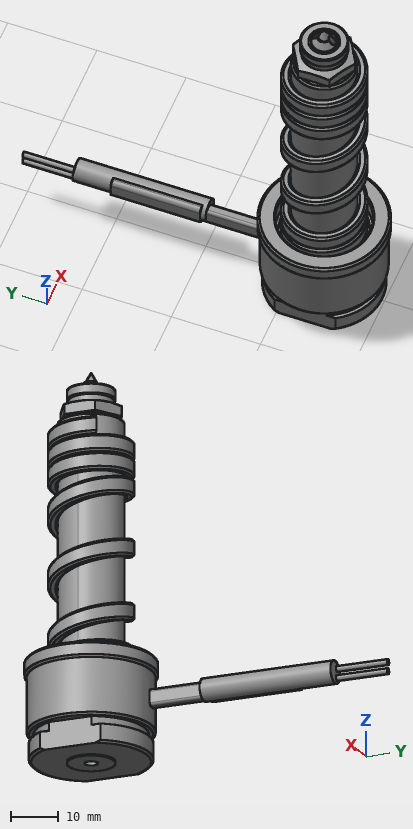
import cadquery as cq
import math

pad_radius = 5.1
pad_height = 0.3
foot_radius = 13.05
foot_top = 4.4
foot_flats = 22.2
groove_radius = 12.1

body_radius = 13.5
body_bottom = 6.3
rim_radius = 14.0
rim_bottom = 19.4
rim_top = 22.4
body_chamfer = 0.5
recess_radius = 10.5
recess_ledge = 18.4
seat_radius = 9.55
seat_floor = 17.5
recess_chamfer = 0.3

tube_radius = 7.0
tube_top = 75.3
tube_chamfer = 0.5
neck_radius = 5.5
hex_corners = 14.0
hex_turn = 30
hex_bottom = 75.7
hex_top = 78.6
hex_shoulder_slope = 0.32
collar_radius = 4.85
cap_radius = 5.1
cap_bottom = 79.95
cap_top = 82.35
cap_chamfer = 0.25

mouth_radius = 3.3
mouth_floor = 81.5
flare_radius = 2.75
flare_top_radius = 1.5
flare_top = 83.9
cone_radius = 1.3
tip_top = 86.2

bore_radius = 1.4
bore_top = 81.0
outlet_radius = 0.75
outlet_offset = 1.8
outlet_bottom = 80.0

coil_outer_radius = 9.05
coil_inner_radius = 6.5
coil_height = 3.77
coil_chamfer = 0.5
close_pitch = 3.95
open_pitch = 14.1
coil_start_angle = -630
open_ramp_start = 185
open_ramp_end = 342
close_ramp_start = 1090
close_ramp_end = 1253
coil_end_angle = 2190
coil_reference_height = 22.3
coil_step_angle = 15

lead_height = 12.7
cable_x = -0.8
cable_width = 2.5
cable_depth = 3.7
cable_corner = 0.6
cable_start = 12.0
sleeve_radius = 2.5
sleeve_start = 25.7
sleeve_end = 55.45
key_start = 26.9
key_end = 46.9
key_depth = 4.6
key_corner = 1.0
wire_radius = 0.65
wire_x = -1.1
wire_spacing = 2.0
wire_end = 67.0


def cylinder(radius, bottom, top):
    return cq.Workplane("XY").workplane(offset=bottom).circle(radius).extrude(top - bottom)


def revolved(profile):
    """Solid of revolution about Z from (radius, height) points."""
    return cq.Workplane("XZ").polyline(profile).close().revolve(360, (0, 0), (0, 1))


def make_foot():
    pad = cylinder(pad_radius, 0, pad_height)
    foot = cylinder(foot_radius, pad_height, foot_top).faces("<Z").chamfer(body_chamfer)
    foot = foot.union(cylinder(groove_radius, foot_top, body_bottom))
    flats = cq.Workplane("XY").box(foot_flats, 2 * foot_radius, 2 * body_bottom)
    return foot.intersect(flats).union(pad)


def make_body():
    profile = [
        (0, body_bottom),
        (body_radius - body_chamfer, body_bottom),
        (body_radius, body_bottom + body_chamfer),
        (body_radius, rim_bottom - body_chamfer),
        (rim_radius, rim_bottom),
        (rim_radius, rim_top - body_chamfer),
        (rim_radius - body_chamfer, rim_top),
        (recess_radius, rim_top),
        (recess_radius - recess_chamfer, rim_top - recess_chamfer),
        (recess_radius - recess_chamfer, recess_ledge),
        (seat_radius, recess_ledge),
        (seat_radius, seat_floor),
        (0, seat_floor),
    ]
    return revolved(profile)


def make_nozzle():
    tube = cylinder(tube_radius, body_bottom, tube_top).faces(">Z").chamfer(tube_chamfer)
    neck = cylinder(neck_radius, tube_top, hex_bottom)
    shoulder_drop = hex_shoulder_slope * (hex_corners / 2 - collar_radius)
    shoulder = [
        (0, hex_bottom),
        (hex_corners / 2, hex_bottom),
        (hex_corners / 2, hex_top - shoulder_drop),
        (collar_radius, hex_top),
        (0, hex_top),
    ]
    hexagon = (
        cq.Workplane("XY").workplane(offset=hex_bottom)
        .polygon(6, hex_corners).extrude(hex_top - hex_bottom)
        .rotate((0, 0, 0), (0, 0, 1), hex_turn)
        .intersect(revolved(shoulder))
    )
    collar = cylinder(collar_radius, hex_top, cap_bottom)
    cap = cylinder(cap_radius, cap_bottom, cap_top).edges().chamfer(cap_chamfer)
    mouth = cylinder(mouth_radius, mouth_floor, cap_top)
    return tube.union(neck).union(hexagon).union(collar).union(cap).cut(mouth)


def make_torpedo():
    profile = [
        (0, cap_bottom),
        (flare_radius, cap_bottom),
        (flare_radius, cap_top),
        (flare_top_radius, flare_top),
        (cone_radius, flare_top),
        (0, tip_top),
    ]
    return revolved(profile)


def make_melt_passages():
    passages = cylinder(bore_radius, 0, bore_top)
    for side in (1, -1):
        outlet = cylinder(outlet_radius, outlet_bottom, tip_top)
        passages = passages.union(outlet.translate((0, side * outlet_offset, 0)))
    return passages


def ramp_excess(angle, start, end):
    """Integral, in full turns, of a factor that rises steadily from 0 at start to 1 at end."""
    if angle <= start:
        return 0
    if angle <= end:
        return (angle - start) ** 2 / (2 * (end - start)) / 360
    return (angle - (start + end) / 2) / 360


def coil_centre_height(angle):
    open_turns = (
        ramp_excess(angle, open_ramp_start, open_ramp_end)
        - ramp_excess(angle, close_ramp_start, close_ramp_end)
    )
    return coil_reference_height + close_pitch * angle / 360 + (open_pitch - close_pitch) * open_turns


def coil_edge(radius, height_offset):
    points = []
    for angle in range(coil_start_angle, coil_end_angle + 1, coil_step_angle):
        turn = math.radians(angle)
        height = coil_centre_height(angle) + height_offset
        points.append(cq.Vector(radius * math.cos(turn), radius * math.sin(turn), height))
    return cq.Edge.makeSpline(points)


def make_coil():
    half = coil_height / 2
    shoulder_radius = tube_radius + coil_chamfer
    root_half = half - (shoulder_radius - coil_inner_radius)
    section = [
        (coil_inner_radius, -root_half),
        (shoulder_radius, -half),
        (coil_outer_radius - coil_chamfer, -half),
        (coil_outer_radius, coil_chamfer - half),
        (coil_outer_radius, half - coil_chamfer),
        (coil_outer_radius - coil_chamfer, half),
        (shoulder_radius, half),
        (coil_inner_radius, root_half),
    ]
    edges = [coil_edge(radius, offset) for radius, offset in section]
    neighbours = edges[1:] + edges[:1]
    faces = [cq.Face.makeRuledSurface(a, b) for a, b in zip(edges, neighbours)]
    for end_point in (cq.Edge.startPoint, cq.Edge.endPoint):
        outline = cq.Wire.makePolygon([end_point(edge) for edge in edges], close=True)
        faces.append(cq.Face.makeFromWires(outline))
    return cq.Workplane(cq.Solid.makeSolid(cq.Shell.makeShell(faces)).fix())


def lead_plane(start, x):
    return cq.Workplane(cq.Plane((x, start, lead_height), (1, 0, 0), (0, 1, 0)))


def make_lead():
    cable = (
        lead_plane(cable_start, cable_x).rect(cable_width, cable_depth)
        .extrude(sleeve_start - cable_start).edges("|Y").fillet(cable_corner)
    )
    sleeve = lead_plane(sleeve_start, 0).circle(sleeve_radius).extrude(sleeve_end - sleeve_start)
    key = (
        lead_plane(key_start, -sleeve_radius / 2).rect(sleeve_radius, key_depth)
        .extrude(key_end - key_start).edges("|Y and <X").fillet(key_corner)
    )
    wires = (
        lead_plane(sleeve_end, wire_x)
        .pushPoints([(0, -wire_spacing / 2), (0, wire_spacing / 2)])
        .circle(wire_radius).extrude(wire_end - sleeve_end)
    )
    return sleeve.union(key).union(cable).union(wires)


core = make_nozzle().union(make_torpedo()).union(make_foot()).union(make_body())
result = core.union(make_coil()).union(make_lead()).cut(make_melt_passages())